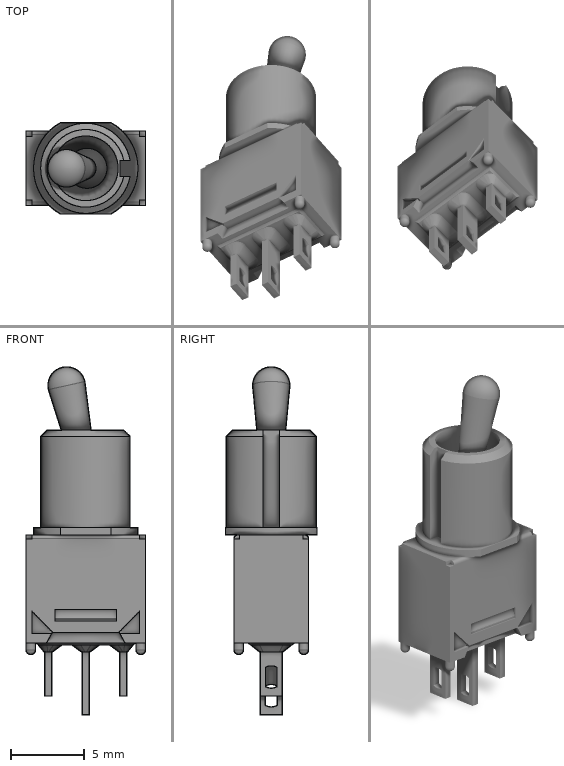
import cadquery as cq
import math

total_height = 23.6

body_length = 8.12
body_width = 5.08
body_bottom = 4.86
body_top = 12.2
cover_half_length = 3.65
cover_edge_radius = 0.25
cover_bottom = 5.6
cover_corner_leg = 1.45
cover_corner_inset = 1.42
corner_notch_width = 0.38
corner_notch_depth = 0.28
frame_rim_top = 5.52
frame_depth = 0.28
rim_gap_top_half = 2.27
rim_gap_bottom_half = 2.67
rim_gap_depth = 0.61

window_length = 4.2
window_bottom = 6.35
window_lip = 0.15
window_height = 0.8
window_lip_depth = 0.1
window_top_depth = 0.38

flange_diameter = 7.08
flange_width = 6.2
flange_height = 0.5
bushing_diameter = 6.11
bushing_top = 19.31
bushing_chamfer = 0.42
bore_top_radius = 2.2
bore_bottom_radius = 1.27
bore_bottom = 15.58
keyway_width = 1.09
keyway_start = 2.31

lever_tilt = 12.5
lever_tip_radius = 1.27
lever_tip_offset = 1.3
lever_taper = 5.2
pivot_ball_radius = 1.49
pivot_ball_height = 15.35

terminal_pitch = 2.55
terminal_thickness = 0.5
terminal_width = 1.5
outer_terminal_tip = 1.27
eye_width = 0.8
eye_length = 1.5
eye_margin = 0.55

resin_length = 6.7
resin_width = 3.12
resin_bottom = 4.72
resin_slope = 50.0
collar_bottom = 4.25
collar_tip_length = 0.55
collar_tip_width = 1.55
collar_tip_radius = 0.24
collar_reach = 0.92
collar_end_reach = 0.65
collar_base_width = 2.75
collar_base_radius = 0.6

peg_diameter = 0.65
peg_straight = 0.45


def span_box(length, width, bottom, top):
    """Box centred on the Z axis between two heights."""
    box = cq.Workplane("XY").box(length, width, top - bottom, centered=(True, True, False))
    return box.translate((0, 0, bottom))


def on_both_sides(cutter):
    """Join a cutter for the -Y side with its mirror image on the +Y side."""
    return cutter.union(cutter.mirror("XZ"))


def side_cutter(points, depth):
    """Prism cut inward to a depth from the -Y face of the housing."""
    outline = cq.Workplane("XZ", origin=(0, -body_width / 2, 0)).polyline(points).close()
    return outline.extrude(-depth)


def make_window_cutter():
    """Recess whose back rises inward from a short upright lip."""
    face = -body_width / 2
    window_top = window_bottom + window_height
    profile = [
        (face, window_bottom),
        (face + window_lip_depth, window_bottom),
        (face + window_lip_depth, window_bottom + window_lip),
        (face + window_top_depth, window_top),
        (face, window_top),
    ]
    return cq.Workplane("YZ").polyline(profile).close().extrude(window_length / 2, both=True)


def make_housing():
    housing = span_box(body_length, body_width, body_bottom, body_top)
    housing = housing.edges("|X and >Z").fillet(cover_edge_radius)

    notch_length = body_length / 2 - cover_half_length
    notch_bottom = body_top - corner_notch_depth
    notch_x = (body_length - notch_length) / 2
    notch_y = (body_width - corner_notch_width) / 2
    notch = span_box(notch_length, corner_notch_width, notch_bottom, body_top)
    for side_x in (-1, 1):
        for side_y in (-1, 1):
            housing = housing.cut(notch.translate((side_x * notch_x, side_y * notch_y, 0)))

    inner_x = cover_half_length - cover_corner_inset
    corner = side_cutter(
        [
            (cover_half_length, cover_bottom + cover_corner_leg),
            (inner_x, cover_bottom),
            (inner_x, frame_rim_top),
            (cover_half_length, frame_rim_top),
        ],
        frame_depth,
    )
    housing = housing.cut(on_both_sides(corner.union(corner.mirror("YZ"))))

    gap = side_cutter(
        [
            (-rim_gap_bottom_half, body_bottom),
            (rim_gap_bottom_half, body_bottom),
            (rim_gap_top_half, cover_bottom),
            (-rim_gap_top_half, cover_bottom),
        ],
        rim_gap_depth,
    )
    housing = housing.cut(on_both_sides(gap))
    return housing.cut(on_both_sides(make_window_cutter()))


def make_bushing():
    flange_top = body_top + flange_height
    flange = cq.Workplane("XY").workplane(offset=body_top).circle(flange_diameter / 2).extrude(flange_height)
    flange = flange.intersect(span_box(flange_diameter, flange_width, body_top, flange_top))

    barrel = cq.Workplane("XY").workplane(offset=flange_top)
    barrel = barrel.circle(bushing_diameter / 2).extrude(bushing_top - flange_top)
    barrel = barrel.faces(">Z").chamfer(bushing_chamfer)
    bore = cq.Workplane("XY").workplane(offset=bushing_top).circle(bore_top_radius)
    bore = bore.workplane(offset=bore_bottom - bushing_top).circle(bore_bottom_radius).loft()
    keyway = span_box(bushing_diameter, keyway_width, flange_top, bushing_top)
    keyway = keyway.translate((keyway_start + bushing_diameter / 2, 0, 0))
    return flange.union(barrel.cut(bore).cut(keyway))


def make_lever():
    """Tapered bat with a round tip, leaning to -X from a pivot ball."""
    tip_height = total_height - lever_tip_radius
    tilt = math.radians(lever_tilt)
    shaft_length = (tip_height - pivot_ball_height) / math.cos(tilt)
    foot_radius = lever_tip_radius - shaft_length * math.tan(math.radians(lever_taper))
    shaft = cq.Workplane("XY").circle(lever_tip_radius)
    shaft = shaft.workplane(offset=-shaft_length).circle(foot_radius).loft()
    tip = cq.Workplane("XY").sphere(lever_tip_radius, angle1=0)
    ball = cq.Workplane("XY").sphere(pivot_ball_radius).translate((0, 0, -shaft_length))
    lever = shaft.union(tip).union(ball)
    lever = lever.rotate((0, 0, 0), (0, 1, 0), -lever_tilt)
    return lever.translate((-lever_tip_offset, 0, tip_height))


def make_terminal(x, tip):
    """Flat solder terminal with an eye that has bowed ends."""
    blade = span_box(terminal_thickness, terminal_width, tip, body_bottom)
    eye_bottom = tip + eye_margin
    eye = span_box(terminal_thickness, eye_width, eye_bottom, eye_bottom + eye_length)
    eye_circle = cq.Workplane("YZ", origin=(0, 0, eye_bottom + eye_length / 2))
    eye_circle = eye_circle.circle(eye_length / 2).extrude(terminal_thickness, both=True)
    return blade.cut(eye.intersect(eye_circle)).translate((x, 0, 0))


def make_resin_bed():
    """Thin bed of resin with sloping sides under the housing."""
    outline = cq.Workplane("XY", origin=(0, 0, body_bottom)).rect(resin_length, resin_width)
    return outline.extrude(resin_bottom - body_bottom, taper=resin_slope)


def rounded_rectangle(length, width, radius):
    return cq.Sketch().rect(length, width).vertices().fillet(radius)


def make_collar(x, reach_left, reach_right):
    """Resin collar that narrows downward around a terminal."""
    tip = rounded_rectangle(collar_tip_length, collar_tip_width, collar_tip_radius)
    base = rounded_rectangle(reach_left + reach_right, collar_base_width, collar_base_radius)
    base_place = cq.Location(cq.Vector((reach_right - reach_left) / 2, 0, resin_bottom - collar_bottom))
    collar = cq.Workplane("XY").placeSketch(tip, base.moved(base_place)).loft()
    return collar.translate((x, 0, collar_bottom))


def make_peg():
    radius = peg_diameter / 2
    peg = cq.Workplane("XY").circle(radius).extrude(-peg_straight)
    return peg.union(cq.Workplane("XY").sphere(radius).translate((0, 0, -peg_straight)))


result = make_housing().union(make_bushing()).union(make_lever())
result = result.union(make_resin_bed())

terminals = [
    (-terminal_pitch, outer_terminal_tip, collar_end_reach, collar_reach),
    (0, 0, collar_reach, collar_reach),
    (terminal_pitch, outer_terminal_tip, collar_reach, collar_end_reach),
]
for terminal_x, terminal_tip, reach_left, reach_right in terminals:
    result = result.union(make_terminal(terminal_x, terminal_tip))
    result = result.union(make_collar(terminal_x, reach_left, reach_right))

peg_x = (body_length - peg_diameter) / 2
peg_y = (body_width - peg_diameter) / 2
for side_x in (-1, 1):
    for side_y in (-1, 1):
        result = result.union(make_peg().translate((side_x * peg_x, side_y * peg_y, body_bottom)))